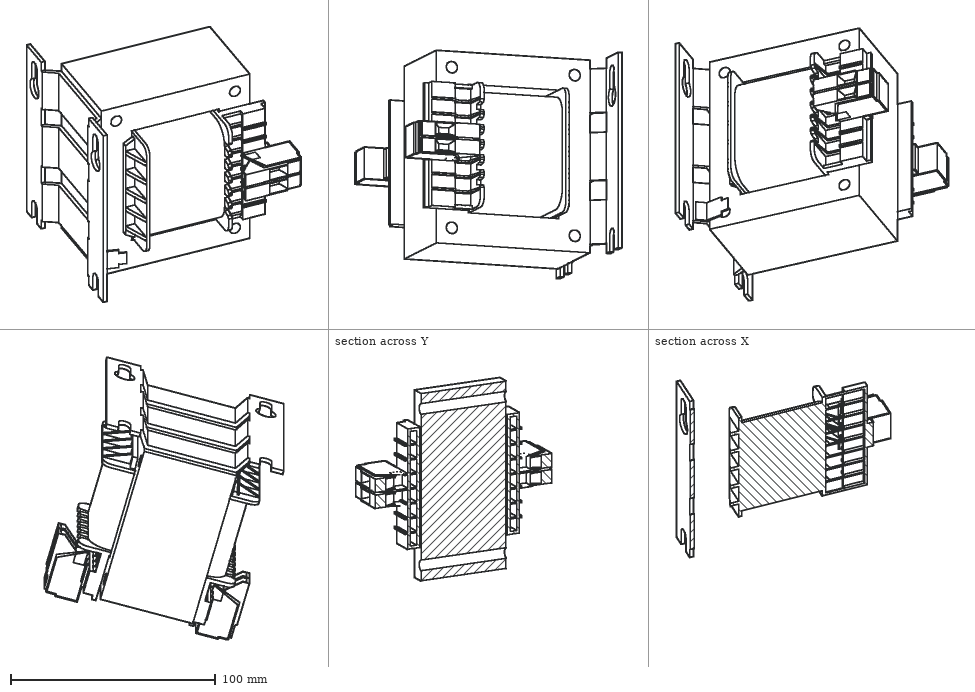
import cadquery as cq
import math


CORE_WIDTH = 47.0
CORE_HALF = CORE_WIDTH / 2
CORE_FRONT = 8.9
CORE_DEPTH = 80.0
CORE_HEIGHT = 96.0
CORE_MID_Y = CORE_FRONT + CORE_DEPTH / 2
LIMB = CORE_HEIGHT / 6
WINDOW_FRONT = 25.2
WINDOW_BACK = 72.3
WINDOW_HALF_HEIGHT = CORE_HEIGHT / 2 - LIMB
BOLT_HOLE_D = 5.7
BOLT_SPACING_Y = CORE_DEPTH - LIMB
BOLT_SPACING_Z = CORE_HEIGHT - LIMB

SHEET = 2.0
FOOT_HALF_SPAN = 45.1
FOOT_HEIGHT = 97.3
FOOT_BEND_X = 27.8
BEND_SHIFT = 1.2
STRIP_END_Z = 43.7
BRACKET_SLOT_LOW = 11.9
BRACKET_SLOT_HIGH = 21.8
FIXING_X = 35.9
FIXING_SLOT_W = 6.0
KEYHOLE_D = 10.0
KEYHOLE_Z = 28.4
KEYHOLE_TOP = 43.7
OPEN_SLOT_TOP = -37.6

TAB_THICKNESS = 0.8
TAB_Z = -38.4
TAB_BASE_W = 10.1
TAB_BLADE_W = 6.3
TAB_STEP_Y = 16.7
TAB_TIP_X = 27.1
TAB_TIP_Y = 20.6
TAB_BEND_Y = 8.0
TAB_FOOT_Y = 3.4

COIL_HALF_X = 35.1
COIL_HALF_Z = 28.0
COIL_RADIUS = 10.2
FLANGE_HALF_X = 39.9
FLANGE_HALF_Z = 30.9
FLANGE_RADIUS = 4.8
FRONT_FLANGE_BACK = 27.5
FRONT_FLANGE_FRONT = 25.8
REAR_FLANGE_FRONT = 70.0
REAR_FLANGE_BACK = 72.0

FRONT_WALL_X = 26.1
FRONT_WALL_Y = 20.7
FRONT_WALL_BASE_HALF_Z = 28.8
FRONT_WALL_TIP_HALF_Z = 26.0
FRONT_RIB_T = 2.1
FRONT_RIB_PITCH = 10.9
FRONT_RIB_COUNT = 5

REAR_WALL_IN_X = 23.8
REAR_WALL_OUT_X = 26.0
REAR_WALL_TOP = 96.0
FRAME_X = 27.9
FRAME_END_T = 1.7
RAIL_X = 30.8
RAIL_BOTTOM = 81.9
RAIL_TOP = 93.9
RAIL_LIP_T = 1.6
RAIL_ROOF_T = 1.6
DIVIDER_X = 32.1
DIVIDER_T = 1.0
DIVIDER_PITCH = 7.5
DIVIDER_COUNT = 7
REAR_RIB_RISE = 2.0
WIRE_SLOT_MOUTH = DIVIDER_PITCH - DIVIDER_T
WIRE_SLOT_THROAT = 3.8
WIRE_SLOT_FLARE = 1.1
WIRE_SLOT_FLOOR = 2.5

BLOCK_TOP = 107.3
BLOCK_IN_X = 30.2
BLOCK_OUT_X = 46.6
BLOCK_HALF_Z = 8.0
BLOCK_STEP_X = 42.0
BLOCK_STEP = 0.9
BLOCK_CHAMFER = 0.5
BLOCK_SHOULDER_Y = 86.1
BLOCK_TIP_Y = 80.2
PANEL_INSET = 0.5
PANEL_HEIGHT = 0.2
PANEL_SHOULDER_Y = 87.5
CABLE_POCKET_TOP = 88.0
CLIP_TOP = 97.2
CLIP_HALF_Z = 7.5
POLE_GAP = 1.1
POLE_OUTER_Z = 7.6
POLE_W = POLE_OUTER_Z - POLE_GAP / 2
POLE_MID_Z = POLE_GAP / 2 + POLE_W / 2
POLE_OUT_X = 48.6
POLE_UPPER_X = 47.6
POLE_TOP = 105.0
POLE_LEDGE_Y = 97.6
POLE_LEDGE_RISE = 0.6
POLE_BOTTOM = 75.3
POLE_TOE_X = 45.3
POLE_HEEL_X = 37.6
POLE_HEEL_Y = 82.2
POLE_CHEEK_T = 0.8
POLE_LIP_X = 47.3
POLE_ROOF_LIP_Y = 80.5
POLE_ROOF_HEEL_Y = 83.9
ENTRY_Y = 93.2
ENTRY_MOUTH_L = 10.3
ENTRY_MOUTH_W = 6.0
ENTRY_FLOOR_Y = 92.7
ENTRY_FLOOR_L = 5.2
ENTRY_FLOOR_W = 3.0
ENTRY_DEPTH = 4.3


def box(x0, x1, y0, y1, z0, z1):
    """Box between two opposite corners."""
    return cq.Workplane("XY").box(x1 - x0, y1 - y0, z1 - z0, centered=False).translate((x0, y0, z0))


def plate_xy(points, thickness, mid_z=0):
    """Outline in X and Y, thickened evenly about the height mid_z."""
    base = cq.Workplane("XY").workplane(offset=mid_z - thickness / 2)
    return base.polyline(points).close().extrude(thickness)


def rounded_block(half_x, half_z, radius, y0, y1):
    """Block along Y with four rounded long edges."""
    block = box(-half_x, half_x, y0, y1, -half_z, half_z)
    return block.edges("|Y").fillet(radius)


def centred_steps(count, pitch):
    """Evenly spaced positions about zero."""
    return [(i - (count - 1) / 2) * pitch for i in range(count)]


def both_sides(shape):
    """The shape together with its mirror image across the YZ plane."""
    return shape.union(shape.mirror("YZ"))


def make_laminations():
    """Block with two windows either side of a centre limb and four bolt holes."""
    half_z = CORE_HEIGHT / 2
    core_back = CORE_FRONT + CORE_DEPTH
    core = box(-CORE_HALF, CORE_HALF, CORE_FRONT, core_back, -half_z, half_z)
    for z0, z1 in ((LIMB, WINDOW_HALF_HEIGHT), (-WINDOW_HALF_HEIGHT, -LIMB)):
        core = core.cut(box(-CORE_HALF, CORE_HALF, WINDOW_FRONT, WINDOW_BACK, z0, z1))
    bolt_holes = (
        cq.Workplane("YZ", origin=(-CORE_HALF, CORE_MID_Y, 0))
        .rarray(BOLT_SPACING_Y, BOLT_SPACING_Z, 2, 2)
        .circle(BOLT_HOLE_D / 2)
        .extrude(CORE_WIDTH)
    )
    return core.cut(bolt_holes)


def fixing_cut():
    """Keyhole above and open-ended slot below, for one foot."""
    radius = FIXING_SLOT_W / 2
    keyhole_arc_z = KEYHOLE_TOP - radius
    open_arc_z = OPEN_SLOT_TOP - radius
    x0 = FIXING_X - radius
    x1 = FIXING_X + radius
    cut = box(x0, x1, 0, SHEET, KEYHOLE_Z, keyhole_arc_z)
    cut = cut.union(box(x0, x1, 0, SHEET, -FOOT_HEIGHT / 2, open_arc_z))
    for z, diameter in ((KEYHOLE_Z, KEYHOLE_D), (keyhole_arc_z, FIXING_SLOT_W), (open_arc_z, FIXING_SLOT_W)):
        disc = cq.Workplane("XZ", origin=(FIXING_X, 0, z)).circle(diameter / 2).extrude(-SHEET)
        cut = cut.union(disc)
    return cut


def make_bracket():
    """Bent sheet: two full-height feet joined across the core by three strips."""
    right_side = [
        (CORE_HALF, CORE_FRONT),
        (FOOT_BEND_X, SHEET),
        (FOOT_HALF_SPAN, SHEET),
        (FOOT_HALF_SPAN, 0),
        (FOOT_BEND_X - BEND_SHIFT, 0),
        (CORE_HALF - BEND_SHIFT, CORE_FRONT - SHEET),
    ]
    left_side = [(-x, y) for x, y in reversed(right_side)]
    bracket = plate_xy(right_side + left_side, FOOT_HEIGHT)
    gaps = (
        (STRIP_END_Z, FOOT_HEIGHT / 2),
        (BRACKET_SLOT_LOW, BRACKET_SLOT_HIGH),
        (-BRACKET_SLOT_HIGH, -BRACKET_SLOT_LOW),
        (-FOOT_HEIGHT / 2, -STRIP_END_Z),
    )
    for z0, z1 in gaps:
        bracket = bracket.cut(box(-FOOT_BEND_X, FOOT_BEND_X, 0, CORE_FRONT, z0, z1))
    return bracket.cut(both_sides(fixing_cut()))


def make_earth_tab():
    """Bent strip: a foot lying on the bracket leg and a blade standing off the core."""
    leg_slope = (FOOT_BEND_X - CORE_HALF) / (CORE_FRONT - SHEET)
    foot_x = CORE_HALF + (CORE_FRONT - TAB_FOOT_Y) * leg_slope
    leg_shift = TAB_THICKNESS * math.hypot(1, leg_slope)
    bend_x = CORE_HALF + (CORE_FRONT - TAB_BEND_Y) * leg_slope
    outline = [
        (bend_x, TAB_BEND_Y),
        (foot_x, TAB_FOOT_Y),
        (foot_x + leg_shift, TAB_FOOT_Y),
        (bend_x + leg_shift, TAB_BEND_Y),
        (TAB_TIP_X + TAB_THICKNESS, TAB_TIP_Y),
        (TAB_TIP_X, TAB_TIP_Y),
    ]
    blade = plate_xy(outline, TAB_BLADE_W, TAB_Z)
    base = plate_xy(outline, TAB_BASE_W, TAB_Z)
    above_step = box(CORE_HALF, FOOT_HALF_SPAN, TAB_STEP_Y, TAB_TIP_Y, -FOOT_HEIGHT / 2, 0)
    return blade.union(base.cut(above_step))


def make_core():
    return make_laminations().union(make_bracket()).union(make_earth_tab())


def wire_slot(z):
    """Tapered notch in the outer edge of the rear flange."""
    stations = (
        (COIL_HALF_X, WIRE_SLOT_FLOOR),
        (FLANGE_HALF_X - WIRE_SLOT_FLARE, WIRE_SLOT_THROAT),
        (FLANGE_HALF_X, WIRE_SLOT_MOUTH),
    )
    lower_edge = [(x, z - width / 2) for x, width in stations]
    upper_edge = [(x, z + width / 2) for x, width in reversed(stations)]
    start = cq.Workplane("XZ", origin=(0, REAR_FLANGE_FRONT, 0))
    return start.polyline(lower_edge + upper_edge).close().extrude(REAR_FLANGE_FRONT - REAR_FLANGE_BACK)


def make_winding():
    """Coil between two flanges, bored through for the centre limb."""
    coil = rounded_block(COIL_HALF_X, COIL_HALF_Z, COIL_RADIUS, FRONT_FLANGE_BACK, REAR_FLANGE_FRONT)
    front = rounded_block(FLANGE_HALF_X, FLANGE_HALF_Z, FLANGE_RADIUS, FRONT_FLANGE_FRONT, FRONT_FLANGE_BACK)
    rear = rounded_block(FLANGE_HALF_X, FLANGE_HALF_Z, FLANGE_RADIUS, REAR_FLANGE_FRONT, REAR_FLANGE_BACK)
    for z in centred_steps(DIVIDER_COUNT - 1, DIVIDER_PITCH):
        rear = rear.cut(both_sides(wire_slot(z)))
    limb = box(-CORE_HALF, CORE_HALF, FRONT_FLANGE_FRONT, REAR_FLANGE_BACK, -LIMB, LIMB)
    return coil.union(front).union(rear).cut(limb)


def make_front_ribs():
    """Chamfered wall along the core with wedge ribs under the front flange."""
    wall_outline = [
        (FRONT_FLANGE_FRONT, -FRONT_WALL_BASE_HALF_Z),
        (FRONT_FLANGE_FRONT, FRONT_WALL_BASE_HALF_Z),
        (FRONT_WALL_Y, FRONT_WALL_TIP_HALF_Z),
        (FRONT_WALL_Y, -FRONT_WALL_TIP_HALF_Z),
    ]
    wall_start = cq.Workplane("YZ", origin=(CORE_HALF, 0, 0))
    ribs = wall_start.polyline(wall_outline).close().extrude(FRONT_WALL_X - CORE_HALF)
    rib_outline = [
        (CORE_HALF, FRONT_FLANGE_FRONT),
        (FLANGE_HALF_X, FRONT_FLANGE_FRONT),
        (FRONT_WALL_X, FRONT_WALL_Y),
        (CORE_HALF, FRONT_WALL_Y),
    ]
    for z in centred_steps(FRONT_RIB_COUNT, FRONT_RIB_PITCH):
        ribs = ribs.union(plate_xy(rib_outline, FRONT_RIB_T, z))
    return ribs


def make_terminal_rail():
    """Terminal wall with a rail hollow from below, end frames and dividers."""
    half_z = FLANGE_HALF_Z
    wall = box(REAR_WALL_IN_X, REAR_WALL_OUT_X, REAR_FLANGE_BACK, REAR_WALL_TOP, -half_z, half_z)
    rail = wall.union(box(REAR_WALL_OUT_X, RAIL_X, RAIL_BOTTOM, RAIL_TOP, -half_z, half_z))
    hollow_half_z = half_z - FRAME_END_T
    hollow_top = RAIL_TOP - RAIL_ROOF_T
    hollow_x = RAIL_X - RAIL_LIP_T
    rail = rail.cut(box(REAR_WALL_OUT_X, hollow_x, RAIL_BOTTOM, hollow_top, -hollow_half_z, hollow_half_z))
    for z0, z1 in ((hollow_half_z, half_z), (-half_z, -hollow_half_z)):
        rail = rail.union(box(REAR_WALL_OUT_X, FRAME_X, REAR_FLANGE_BACK, RAIL_BOTTOM, z0, z1))
    divider_outline = [
        (REAR_WALL_OUT_X, REAR_FLANGE_BACK),
        (FLANGE_HALF_X, REAR_FLANGE_BACK),
        (FRAME_X, REAR_FLANGE_BACK + REAR_RIB_RISE),
        (FRAME_X, RAIL_BOTTOM),
        (DIVIDER_X, RAIL_BOTTOM),
        (DIVIDER_X, RAIL_TOP),
        (REAR_WALL_OUT_X, RAIL_TOP),
    ]
    for z in centred_steps(DIVIDER_COUNT, DIVIDER_PITCH):
        rail = rail.union(plate_xy(divider_outline, DIVIDER_T, z))
    return rail


def block_outline(inset, shoulder_y):
    """Side profile of the block, drawn in by an even inset around the upper edges."""
    top = BLOCK_TOP - inset
    step_y = top - BLOCK_STEP
    out_x = BLOCK_OUT_X - inset
    return [
        (BLOCK_IN_X + inset, top),
        (BLOCK_STEP_X - inset - BLOCK_CHAMFER, top),
        (BLOCK_STEP_X - inset, step_y),
        (out_x - BLOCK_CHAMFER, step_y),
        (out_x, step_y - BLOCK_CHAMFER),
        (out_x, shoulder_y),
        (DIVIDER_X, BLOCK_TIP_Y + inset),
        (DIVIDER_X, RAIL_BOTTOM),
        (RAIL_X, RAIL_BOTTOM),
        (RAIL_X, RAIL_TOP),
        (BLOCK_IN_X + inset, RAIL_TOP),
    ]


def make_block_housing():
    body = plate_xy(block_outline(0, BLOCK_SHOULDER_Y), 2 * (BLOCK_HALF_Z - PANEL_HEIGHT))
    return body.union(plate_xy(block_outline(PANEL_INSET, PANEL_SHOULDER_Y), 2 * BLOCK_HALF_Z))


def make_clip():
    """Foot joining the block to the top of the terminal wall, with the same raised end panels."""
    body_half_z = CLIP_HALF_Z - PANEL_HEIGHT
    panel_in_x = REAR_WALL_OUT_X + PANEL_INSET
    panel_top = CLIP_TOP - PANEL_INSET
    body = box(REAR_WALL_OUT_X, BLOCK_IN_X, RAIL_TOP, CLIP_TOP, -body_half_z, body_half_z)
    return body.union(box(panel_in_x, BLOCK_IN_X, RAIL_TOP, panel_top, -CLIP_HALF_Z, CLIP_HALF_Z))


def cable_pocket(z):
    """Opening in the sloping underside, between a pole and the rail."""
    half_w = POLE_W / 2
    return box(RAIL_X, POLE_HEEL_X, BLOCK_TIP_Y, CABLE_POCKET_TOP, z - half_w, z + half_w)


def wire_entry(z):
    """Rectangular funnel narrowing inwards from the outer face of a pole."""
    mouth = cq.Workplane("YZ", origin=(POLE_OUT_X, ENTRY_Y, z)).rect(ENTRY_MOUTH_L, ENTRY_MOUTH_W)
    floor = mouth.workplane(offset=-ENTRY_DEPTH).center(ENTRY_FLOOR_Y - ENTRY_Y, 0)
    return floor.rect(ENTRY_FLOOR_L, ENTRY_FLOOR_W).loft()


def make_pole(z):
    outline = [
        (POLE_HEEL_X, POLE_TOP),
        (POLE_UPPER_X, POLE_TOP),
        (POLE_UPPER_X, POLE_LEDGE_Y + POLE_LEDGE_RISE),
        (POLE_OUT_X, POLE_LEDGE_Y),
        (POLE_OUT_X, POLE_BOTTOM),
        (POLE_TOE_X, POLE_BOTTOM),
        (POLE_HEEL_X, POLE_HEEL_Y),
    ]
    return plate_xy(outline, POLE_W, z)


def pole_hollow(z):
    """Space between the two cheeks of a pole, open below."""
    outline = [
        (POLE_LIP_X, POLE_BOTTOM),
        (POLE_LIP_X, POLE_ROOF_LIP_Y),
        (POLE_HEEL_X, POLE_ROOF_HEEL_Y),
        (POLE_HEEL_X, POLE_BOTTOM),
    ]
    return plate_xy(outline, POLE_W - 2 * POLE_CHEEK_T, z)


def make_terminal_block():
    block = make_block_housing().union(make_clip())
    for z in (-POLE_MID_Z, POLE_MID_Z):
        block = block.union(make_pole(z))
        block = block.cut(wire_entry(z)).cut(pole_hollow(z)).cut(cable_pocket(z))
    return block


def make_bobbin():
    side_parts = make_front_ribs().union(make_terminal_rail()).union(make_terminal_block())
    return make_winding().union(both_sides(side_parts))


core = make_core()
bobbin = make_bobbin()
result = cq.Compound.makeCompound([core.val(), bobbin.val()])